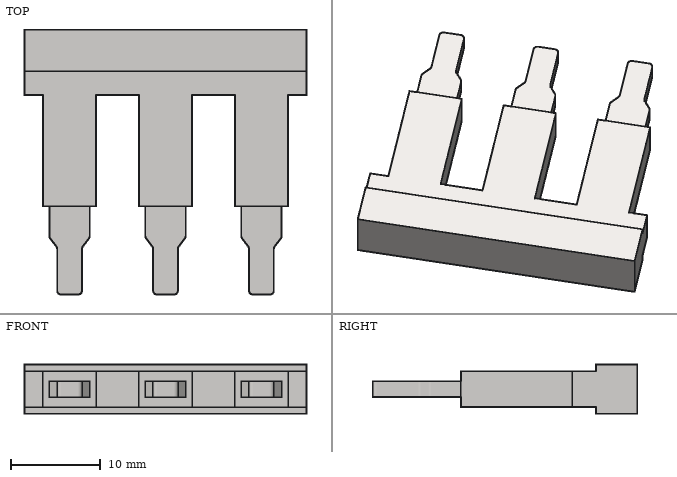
import cadquery as cq

bridge_width = 31.4
total_length = 29.5
head_height = 5.5

head_end = 4.62
bridge_end = 7.3
sleeve_end = 19.65

body_height = 4.02
sleeve_width = 5.95
prong_count = 3
prong_pitch = 10.68

blade_thickness = 1.8
blade_width = 4.52
blade_tip_width = 2.8
taper_start = sleeve_end + 3.45
taper_length = 1.13
blade_corner_radius = 0.47


def slab(width, height, start, end, center_x=0.0):
    """Block centered on Z = 0, spanning two distances from the back face."""
    block = cq.Workplane("XY").box(width, end - start, height)
    return block.translate((center_x, -(start + end) / 2, 0))


def contact_blade(center_x):
    """Flat blade that steps down to a narrow tip through a rounded taper."""
    half_width = blade_width / 2
    half_tip = blade_tip_width / 2
    taper_end = taper_start + taper_length
    blade = (
        cq.Workplane("XY")
        .moveTo(-half_width, -sleeve_end)
        .lineTo(-half_width, -taper_start)
        .lineTo(-half_tip, -taper_end)
        .lineTo(-half_tip, -total_length)
        .lineTo(half_tip, -total_length)
        .lineTo(half_tip, -taper_end)
        .lineTo(half_width, -taper_start)
        .lineTo(half_width, -sleeve_end)
        .close()
        .extrude(blade_thickness / 2, both=True)
    )
    outer_edges = blade.edges("|Z").edges("not >Y")
    return outer_edges.fillet(blade_corner_radius).translate((center_x, 0, 0))


result = slab(bridge_width, head_height, 0, head_end)
result = result.union(slab(bridge_width, body_height, head_end, bridge_end))

for index in range(prong_count):
    prong_x = (index - (prong_count - 1) / 2) * prong_pitch
    result = result.union(slab(sleeve_width, body_height, bridge_end, sleeve_end, prong_x))
    result = result.union(contact_blade(prong_x))